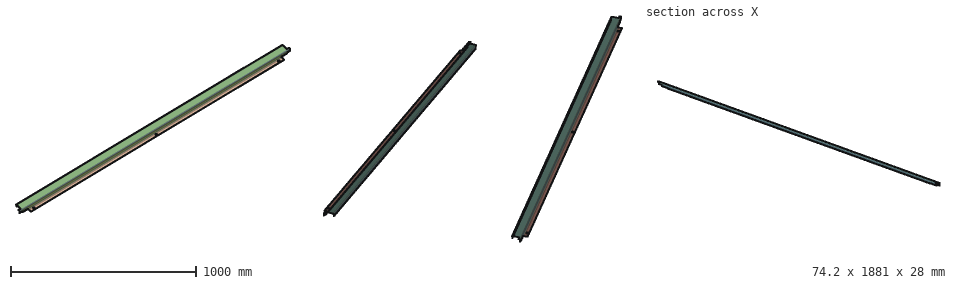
import cadquery as cq

WIDTH = 74.2
LENGTH = 1881.0
HEIGHT = 28.0

SHEET = 1.5
BEND_INSIDE = 2.0
BEND_OUTSIDE = BEND_INSIDE + SHEET

TOP_WIDTH = 51.0
LEG_HEIGHT = 20.5

TONGUE_HEIGHT = 18.0
LIP_WIDTH = 10.0
TOP_SETBACK = 15.0
LOWER_SETBACK = 20.0
FOOT_SETBACK = 60.0

HOLE_DIAMETER = 8.0
HOLE_PITCH = 851.0

X_LEFT = -WIDTH / 2
X_RIGHT = WIDTH / 2
X_WEB = X_LEFT + TOP_WIDTH
Y_END = LENGTH / 2
Z_TOP = HEIGHT / 2
Z_BOTTOM = -HEIGHT / 2


def folded_sheet():
    """Folded section over the full length, with rounded bends."""
    outline = [
        (X_LEFT, Z_TOP - LEG_HEIGHT),
        (X_LEFT, Z_TOP),
        (X_WEB, Z_TOP),
        (X_WEB, Z_BOTTOM + SHEET),
        (X_RIGHT, Z_BOTTOM + SHEET),
        (X_RIGHT, Z_BOTTOM),
        (X_WEB - SHEET, Z_BOTTOM),
        (X_WEB - SHEET, Z_TOP - SHEET),
        (X_LEFT + SHEET, Z_TOP - SHEET),
        (X_LEFT + SHEET, Z_TOP - LEG_HEIGHT),
    ]
    outside_corners = [(X_LEFT, Z_TOP), (X_WEB, Z_TOP), (X_WEB - SHEET, Z_BOTTOM)]
    inside_corners = [
        (X_LEFT + SHEET, Z_TOP - SHEET),
        (X_WEB - SHEET, Z_TOP - SHEET),
        (X_WEB, Z_BOTTOM + SHEET),
    ]
    sheet = cq.Workplane("XZ").polyline(outline).close().extrude(LENGTH / 2, both=True)
    for corners, radius in ((outside_corners, BEND_OUTSIDE), (inside_corners, BEND_INSIDE)):
        for x, z in corners:
            sheet = sheet.edges(cq.selectors.NearestToPointSelector((x, 0, z))).fillet(radius)
    return sheet


def end_cut(x_min, x_max, z_min, z_max, reach):
    """Blocks that remove a part of the section from both ends, each over the given reach."""
    block = cq.Workplane("XY").box(x_max - x_min, reach, z_max - z_min)
    x_middle = (x_min + x_max) / 2
    z_middle = (z_min + z_max) / 2
    y_middle = Y_END - reach / 2
    front = block.translate((x_middle, -y_middle, z_middle))
    back = block.translate((x_middle, y_middle, z_middle))
    return front.union(back)


def foot_holes():
    x_hole = (X_WEB + X_RIGHT) / 2
    places = [(x_hole, row * HOLE_PITCH) for row in (-1, 0, 1)]
    return (
        cq.Workplane("XY", origin=(0, 0, Z_BOTTOM))
        .pushPoints(places)
        .circle(HOLE_DIAMETER / 2)
        .extrude(SHEET)
    )


leg_and_top_end = end_cut(X_LEFT, X_WEB - LIP_WIDTH, Z_BOTTOM, Z_TOP, TOP_SETBACK)
leg_end = end_cut(X_LEFT, X_LEFT + SHEET, Z_BOTTOM, Z_TOP - BEND_OUTSIDE, LOWER_SETBACK)
below_tongue = end_cut(X_WEB - LIP_WIDTH, X_WEB, Z_BOTTOM, Z_TOP - TONGUE_HEIGHT, LOWER_SETBACK)
foot_end = end_cut(X_WEB - SHEET, X_RIGHT, Z_BOTTOM, Z_BOTTOM + BEND_OUTSIDE, FOOT_SETBACK)

result = folded_sheet().cut(leg_and_top_end).cut(leg_end).cut(below_tongue).cut(foot_end).cut(foot_holes())